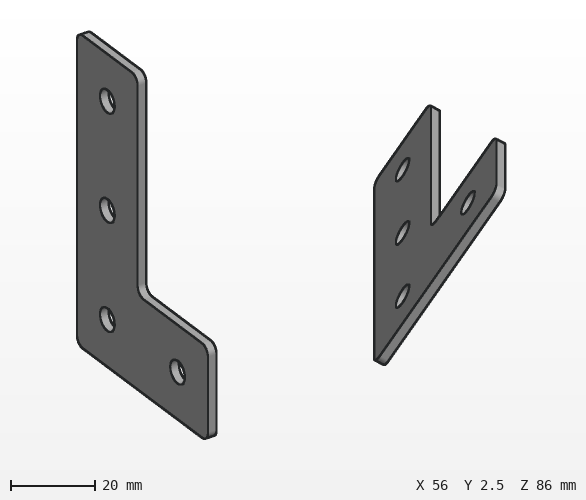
import cadquery as cq

arm_width = 26.0
hole_pitch = 30.0
thickness = 2.5
corner_radius = 2.5
hole_diameter = 6.2
foot_pitches = 1
upright_pitches = 2

edge_distance = arm_width / 2
length_x = arm_width + foot_pitches * hole_pitch
length_z = arm_width + upright_pitches * hole_pitch


def l_plate():
    """L-shaped plate in the XZ plane, from Y = 0 to Y = thickness, with all six corners rounded."""
    outline = [
        (0, 0),
        (length_x, 0),
        (length_x, arm_width),
        (arm_width, arm_width),
        (arm_width, length_z),
        (0, length_z),
    ]
    plate = cq.Workplane("XZ").polyline(outline).close().extrude(-thickness)
    return plate.edges("|Y").fillet(corner_radius)


def mounting_holes():
    """Cylinders for the holes along the centrelines of both arms, sharing the one at the corner."""
    upright = [(edge_distance, edge_distance + i * hole_pitch) for i in range(upright_pitches + 1)]
    foot = [(edge_distance + i * hole_pitch, edge_distance) for i in range(1, foot_pitches + 1)]
    return cq.Workplane("XZ").pushPoints(upright + foot).circle(hole_diameter / 2).extrude(-thickness)


result = l_plate().cut(mounting_holes())